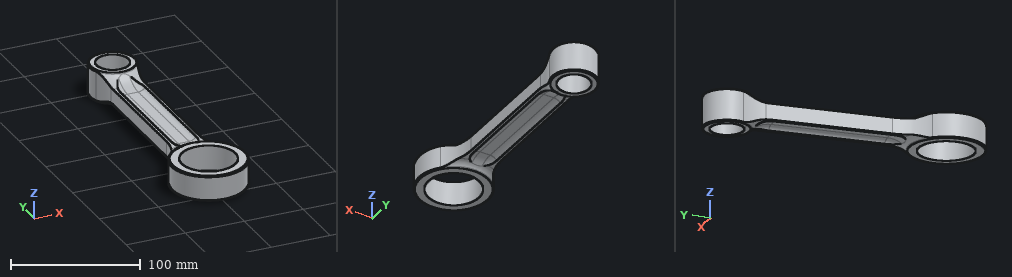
import cadquery as cq
import math

overall_length = 229.2
big_diameter = 62.1
big_radius = big_diameter / 2
big_bore_radius = 22.7
big_height = 21.5
small_diameter = 38.5
small_radius = small_diameter / 2
small_bore_radius = 13.5
small_height = 26.8
rim_chamfer = 1.0
small_center_y = overall_length - big_radius - small_radius

shank_width = 27.5
shank_thickness = 13.3
big_side_blend = 45.8
small_side_blend = 50.5
half_width = shank_width / 2
half_thickness = shank_thickness / 2

big_face_reach = 37.8
small_face_reach = 33.0

trough_depth = 3.0
trough_floor_width = 9.2
trough_corner_radius = 7.5
big_runout_radius = 22.2
small_runout_radius = 23.4
runout_angle = 60.0
trough_start_y = 46.5
trough_end_y = small_center_y - 37.5
trough_cut_height = 11.5


def side_blend_points(end_radius, blend_radius):
    """Points of the neck arc relative to the end's axis: on the disc, mid-arc, on the shank."""
    center_x = half_width + blend_radius
    center_distance = end_radius + blend_radius
    center_y = math.sqrt(center_distance**2 - center_x**2)
    disc_angle = math.atan2(center_y, center_x)
    disc_point = (end_radius * math.cos(disc_angle), end_radius * math.sin(disc_angle))
    middle = (
        center_x - blend_radius * math.cos(disc_angle / 2),
        center_y - blend_radius * math.sin(disc_angle / 2),
    )
    return disc_point, middle, (half_width, center_y)


def rod_plan():
    """Outline of the rod seen along Z, extruded to the tallest height."""
    big_tangent, big_middle, big_shank = side_blend_points(big_radius, big_side_blend)
    small_points = side_blend_points(small_radius, small_side_blend)
    small_tangent, small_middle, small_shank = [(x, small_center_y - y) for x, y in small_points]

    def mirrored(point):
        return (-point[0], point[1])

    return (
        cq.Workplane("XY", origin=(0, 0, -small_height / 2))
        .moveTo(*big_tangent)
        .threePointArc(big_middle, big_shank)
        .lineTo(*small_shank)
        .threePointArc(small_middle, small_tangent)
        .threePointArc((0, small_center_y + small_radius), mirrored(small_tangent))
        .threePointArc(mirrored(small_middle), mirrored(small_shank))
        .lineTo(*mirrored(big_shank))
        .threePointArc(mirrored(big_middle), mirrored(big_tangent))
        .threePointArc((0, -big_radius), big_tangent)
        .close()
        .extrude(small_height)
    )


def end_envelope(center_y, radius, height, face_reach):
    """Turned end with chamfered rims and a concave flare that meets the shank faces tangentially."""
    top = height / 2
    rim = top - rim_chamfer
    flare_width = face_reach - radius
    flare_rise = rim - half_thickness
    flare_radius = (flare_width**2 + flare_rise**2) / (2 * flare_rise)
    half_sweep = math.asin(flare_width / flare_radius) / 2
    middle_r = face_reach - flare_radius * math.sin(half_sweep)
    middle_z = half_thickness + flare_radius * (1 - math.cos(half_sweep))
    return (
        cq.Workplane("XZ", origin=(0, center_y, 0))
        .moveTo(0, -top)
        .lineTo(radius - rim_chamfer, -top)
        .lineTo(radius, -rim)
        .threePointArc((middle_r, -middle_z), (face_reach, -half_thickness))
        .lineTo(face_reach, half_thickness)
        .threePointArc((middle_r, middle_z), (radius, rim))
        .lineTo(radius - rim_chamfer, top)
        .lineTo(0, top)
        .close()
        .revolve(360, (0, 0), (0, 1))
    )


def trough_section(y):
    """Cross-section of the trough: flat floor, rounded corners and upright walls."""
    floor_half = trough_floor_width / 2
    wall_x = floor_half + trough_corner_radius
    diagonal = trough_corner_radius * math.sqrt(0.5)
    middle = (floor_half + diagonal, trough_corner_radius - diagonal)
    return (
        cq.Workplane("XZ", origin=(0, y, half_thickness - trough_depth))
        .moveTo(-floor_half, 0)
        .lineTo(floor_half, 0)
        .threePointArc(middle, (wall_x, trough_corner_radius))
        .lineTo(wall_x, trough_cut_height)
        .lineTo(-wall_x, trough_cut_height)
        .lineTo(-wall_x, trough_corner_radius)
        .threePointArc((-middle[0], middle[1]), (-floor_half, 0))
        .close()
    )


def trough_cutter():
    """Straight trough with a curved run-out at each end, for the upper face."""
    straight = trough_section(trough_end_y).extrude(trough_end_y - trough_start_y)
    big_runout = trough_section(trough_start_y).revolve(
        runout_angle, (2.3, big_runout_radius), (-2.3, big_runout_radius)
    )
    small_runout = trough_section(trough_end_y).revolve(
        runout_angle, (-2.3, small_runout_radius), (2.3, small_runout_radius)
    )
    return straight.union(big_runout).union(small_runout)


def bore(center_y, radius):
    return cq.Workplane("XY", origin=(0, center_y, 0)).circle(radius).extrude(small_height, both=True)


shank_slab = (
    cq.Workplane("XY")
    .box(big_diameter, small_center_y, shank_thickness)
    .translate((0, small_center_y / 2, 0))
)
envelope = (
    shank_slab
    .union(end_envelope(0, big_radius, big_height, big_face_reach))
    .union(end_envelope(small_center_y, small_radius, small_height, small_face_reach))
)
rod = rod_plan().intersect(envelope)

upper_trough = trough_cutter()
rod = rod.cut(upper_trough).cut(upper_trough.mirror("XY"))
result = rod.cut(bore(0, big_bore_radius)).cut(bore(small_center_y, small_bore_radius))